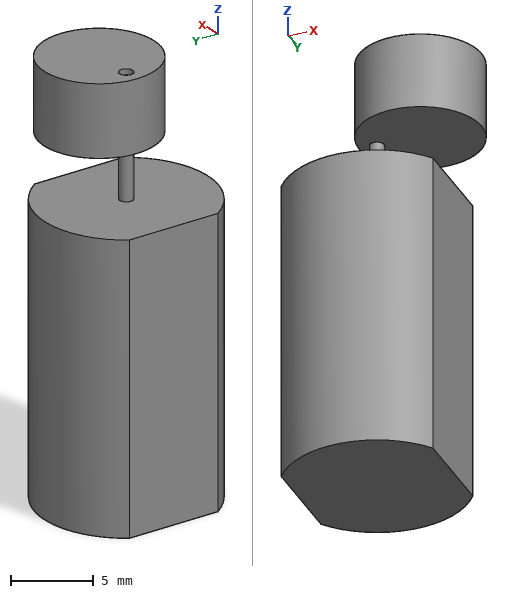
import cadquery as cq

body_diameter = 11.88
body_flat_width = 9.9
body_height = 19.95

total_height = 28.42
weight_diameter = 8.0
weight_height = 5.0
overall_length_x = 11.77
weight_offset = overall_length_x - body_flat_width / 2 - weight_diameter / 2
weight_bottom = total_height - weight_height

shaft_diameter = 0.95
shaft_recess = 0.4
shaft_top = total_height - shaft_recess


def cylinder(diameter, bottom, top, center_x=0):
    """Vertical cylinder between two heights, centred on the X axis."""
    return (
        cq.Workplane("XY", origin=(center_x, 0, bottom))
        .circle(diameter / 2)
        .extrude(top - bottom)
    )


def motor_body():
    """Cylinder trimmed by the pair of flats."""
    flats = cq.Workplane("XY").box(
        body_flat_width, body_diameter, body_height, centered=(True, True, False)
    )
    return cylinder(body_diameter, 0, body_height).intersect(flats)


def eccentric_weight():
    """Off-centre cylinder with a through bore for the shaft."""
    bore = cylinder(shaft_diameter, weight_bottom, total_height)
    return cylinder(weight_diameter, weight_bottom, total_height, weight_offset).cut(bore)


shaft = cylinder(shaft_diameter, body_height, shaft_top)
result = motor_body().union(eccentric_weight()).union(shaft)